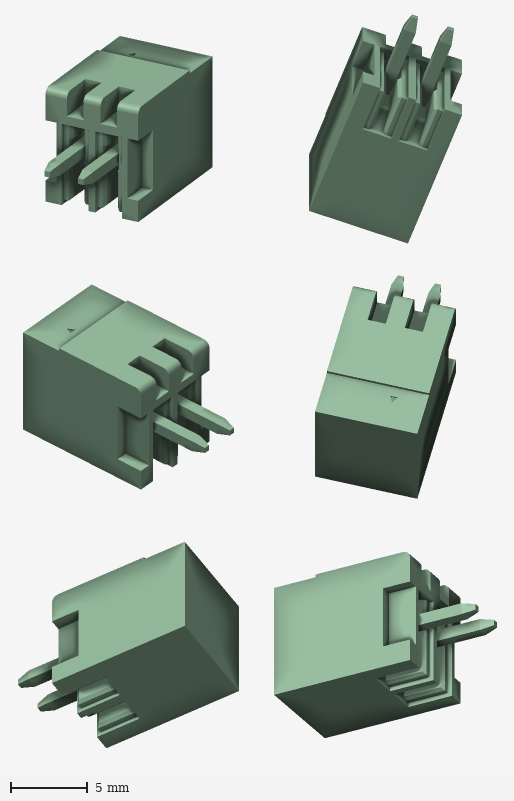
import cadquery as cq


body_width = 6.9
body_length = 10.1
body_height = 8.1
top_edge_radius = 0.5
step_length = 3.1
step_drop = 0.21
rear_height = body_height - step_drop

total_length = 13.9
pin_pitch = 2.5
pin_size = 0.8
pin_height = 3.89
tip_length = 0.95
tip_size = 0.4
root_length = 0.14
pin_reach = total_length - body_length

notch_width = 1.22
notch_length = 2.5
notch_depth = 1.7

side_recess_depth = 0.8
side_recess_length = 2.0
side_recess_bottom = 1.52

channel_top = 5.8
channel_depth = 0.3
channel_width = 2.0

slot_width = pin_size
slot_mouth_width = notch_width
flare = (slot_mouth_width - slot_width) / 2
slot_back = 2.0
slot_floor = 0.29
pin_window_height = 1.6

undercut_bottom = 0.58
sweep_radius = 0.99
lip_radius = 0.25
lip_height = undercut_bottom + sweep_radius
sweep_start = slot_back + lip_radius
undercut_back = sweep_start + sweep_radius

mark_size = 0.5
mark_depth = 0.1
mark_base = 7.7


def box(x_centre, width, y_start, y_end, z_start, z_end):
    """Box centred on x_centre in X, with given limits in Y and Z."""
    size = (width, y_end - y_start, z_end - z_start)
    corner = (x_centre - width / 2, y_start, z_start)
    return cq.Workplane("XY").box(*size, centered=False).translate(corner)


def housing():
    """Block with a lowered rear top and a rounded front top edge."""
    block = box(0, body_width, 0, body_length, 0, body_height)
    block = block.edges("<Y and >Z").fillet(top_edge_radius)
    step_start = body_length - step_length
    step = box(0, body_width, step_start, body_length, rear_height, body_height)
    return block.cut(step)


def notch(x_centre):
    """Notch through the top and front faces."""
    return box(x_centre, notch_width, 0, notch_length, body_height - notch_depth, body_height)


def side_recess(side):
    """Pocket in one outer side, open to the front face."""
    x_centre = side * (body_width - side_recess_depth) / 2
    return box(x_centre, side_recess_depth, 0, side_recess_length, side_recess_bottom, channel_top)


def channel(x_centre):
    """Shallow front channel, with a deeper relief along the underside."""
    front = box(x_centre, channel_width, 0, channel_depth, 0, channel_top)
    relief = box(x_centre, channel_width, 0, undercut_back, 0, slot_floor)
    return front.union(relief)


def flare_outline(plane, x_centre, mouth):
    """Trapezoid narrowing from the slot mouth to the slot width along the plane's second axis."""
    throat = mouth + flare
    return (
        cq.Workplane(plane)
        .polyline([
            (x_centre - slot_mouth_width / 2, mouth),
            (x_centre + slot_mouth_width / 2, mouth),
            (x_centre + slot_width / 2, throat),
            (x_centre - slot_width / 2, throat),
        ])
        .close()
    )


def slot(x_centre):
    """Pin slot flared at its front and bottom mouths, with a window around the pin."""
    x_start = x_centre - slot_width / 2
    profile = (
        cq.Workplane("YZ", origin=(x_start, 0, 0))
        .moveTo(0, 0)
        .lineTo(undercut_back, 0)
        .lineTo(undercut_back, undercut_bottom)
        .radiusArc((sweep_start, lip_height), -sweep_radius)
        .radiusArc((slot_back, lip_height + lip_radius), lip_radius)
        .lineTo(slot_back, channel_top)
        .lineTo(0, channel_top)
        .close()
    )
    cut = profile.extrude(slot_width)

    front_flare = flare_outline("XY", x_centre, channel_depth).extrude(channel_top)
    bottom_flare = flare_outline("XZ", x_centre, slot_floor).extrude(-undercut_back)
    window_bottom = pin_height - pin_window_height / 2
    window_top = pin_height + pin_window_height / 2
    window = box(x_centre, slot_mouth_width, 0, slot_back, window_bottom, window_top)
    return cut.union(front_flare).union(bottom_flare).union(window)


def pin_one_mark():
    """Shallow triangle pointing to the rear, in line with the first pin."""
    return (
        cq.Workplane("XY", origin=(-pin_pitch / 2, mark_base, rear_height - mark_depth))
        .polyline([(-mark_size / 2, 0), (mark_size / 2, 0), (0, mark_size)])
        .close()
        .extrude(mark_depth)
    )


def pin(x_centre):
    """Square pin with a tapered tip, rooted in the back of its slot."""
    shoulder = tip_length - pin_reach
    half_height = pin_size / 2
    bottom = pin_height - half_height
    top = pin_height + half_height
    shank = box(x_centre, pin_size, shoulder, slot_back + root_length, bottom, top)
    tip = (
        cq.Workplane("XZ", origin=(x_centre, shoulder, pin_height))
        .rect(pin_size, pin_size)
        .workplane(offset=tip_length)
        .rect(tip_size, tip_size)
        .loft(ruled=True)
    )
    return shank.union(tip)


result = housing().cut(pin_one_mark())
for side in (-1, 1):
    pin_x = side * pin_pitch / 2
    result = result.cut(notch(pin_x))
    result = result.cut(side_recess(side))
    result = result.cut(channel(pin_x))
    result = result.cut(slot(pin_x))
    result = result.union(pin(pin_x))